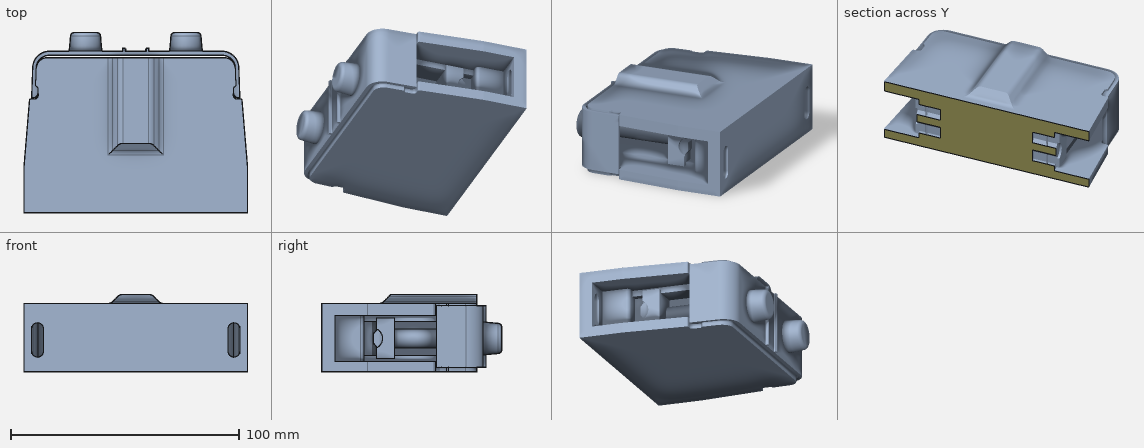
import cadquery as cq
import math


body_height = 30.0
body_depth = 68.0
base_half_width = 49.0
base_straight_depth = 20.2
shoulder_half_width = 46.6
shoulder_y = 49.9
shoulder_radius = 0.7
body_corner_radius = 4.9

seam_bottom_x = 43.9
seam_bottom_y = 55.7
seam_top_x = 43.6
latch_x = 42.8
latch_top_y = 54.7
latch_relief_radius = 1.5

cap_bottom = 2.0
cap_top = 29.0
cap_back_y = 70.8
cap_thickness = 1.85
cap_outer_top_x = 45.2
cap_outer_bottom_x = 45.65
cap_outer_radius = 7.5
cap_tip_y = 50.3
cap_tip_radius = 2.2

ridge_x = 5.15
ridge_width = 1.1
ridge_end_y = 72.1
barb_reach = 0.35
barb_length = 0.6
barb_setback = 0.3

screw_x = 22.0
knob_base_radius = 7.25
knob_end_radius = 6.5
knob_edge_radius = 1.8
knob_end_y = 79.0
shank_radius = 4.1

tower_top = 34.0
tower_half_width = 12.15
tower_front_y = 25.2
tower_slope = math.radians(45)
tower_foot_radius = 2.9
tower_edge_radius = 3.25

front_wall = 5.9
bay_bottom = 4.5
bay_top = 24.8
panel_x = 36.0
panel_end_y = 18.6
panel_edge_radius = 1.6
bay_floor_x = 32.3
ledge_end_y = 61.5
channel_floor_x = screw_x
channel_bottom = 7.1
channel_top = 22.1
channel_start_y = 22.6
channel_chamfer = 0.8
pocket_floor_x = 29.0

block_face_x = 34.2
block_front_y = 24.0
block_back_y = 31.9
block_bottom = 5.8
block_top = 23.6
scoop_depth = 1.0
scoop_length = 2.7
scoop_half_height = 4.2
tongue_tip_y = 22.7
tongue_root_half_height = 3.5
tongue_tip_half_height = 2.0

cut_overrun = 1.0

slot_x = 43.0
slot_width = 5.2
slot_height = 15.0
slot_z = 14.0
slot_upright_angle = 90

screw_z = (bay_bottom + bay_top) / 2

quarter_arc_mid = 45
relief_arc_mid = 180 + quarter_arc_mid


def box(x0, x1, y0, y1, z0, z1):
    return cq.Workplane("XY").box(x1 - x0, y1 - y0, z1 - z0, centered=False).translate((x0, y0, z0))


def polar_point(center_x, center_y, radius, angle_deg):
    angle = math.radians(angle_deg)
    return (center_x + radius * math.cos(angle), center_y + radius * math.sin(angle))


def make_body():
    relief_y = shoulder_y + latch_relief_radius
    relief_x = latch_x + latch_relief_radius
    corner_x = seam_top_x - body_corner_radius
    corner_y = body_depth - body_corner_radius
    rounding_x = shoulder_half_width - shoulder_radius
    rounding_y = shoulder_y - shoulder_radius
    return (
        cq.Workplane("XY")
        .moveTo(0, 0)
        .lineTo(base_half_width, 0)
        .lineTo(base_half_width, base_straight_depth)
        .lineTo(shoulder_half_width, rounding_y)
        .threePointArc(
            polar_point(rounding_x, rounding_y, shoulder_radius, quarter_arc_mid),
            (rounding_x, shoulder_y),
        )
        .lineTo(relief_x, shoulder_y)
        .threePointArc(
            polar_point(relief_x, relief_y, latch_relief_radius, relief_arc_mid),
            (latch_x, relief_y),
        )
        .lineTo(latch_x, latch_top_y)
        .lineTo(seam_bottom_x, seam_bottom_y)
        .lineTo(seam_top_x, corner_y)
        .threePointArc(
            polar_point(corner_x, corner_y, body_corner_radius, quarter_arc_mid),
            (corner_x, body_depth),
        )
        .lineTo(0, body_depth)
        .close()
        .extrude(body_height)
    )


def make_tower():
    sin_slope = math.sin(tower_slope)
    foot_run = tower_foot_radius * sin_slope
    foot_rise = tower_foot_radius * (1 - math.cos(tower_slope))
    edge_run = tower_edge_radius * sin_slope
    edge_rise = tower_edge_radius * (1 - math.cos(tower_slope))
    foot_z = body_height + foot_rise
    edge_z = tower_top - edge_rise
    foot_x = tower_half_width - foot_run
    edge_x = foot_x - (edge_z - foot_z) / math.tan(tower_slope)
    half_slope = tower_slope / 2
    foot_mid_run = tower_foot_radius * math.sin(half_slope)
    foot_mid_z = body_height + tower_foot_radius * (1 - math.cos(half_slope))
    edge_mid_x = edge_x - edge_run + tower_edge_radius * math.sin(half_slope)
    edge_mid_z = tower_top - tower_edge_radius * (1 - math.cos(half_slope))
    across = (
        cq.Workplane("XZ")
        .moveTo(0, body_height)
        .lineTo(tower_half_width, body_height)
        .threePointArc((tower_half_width - foot_mid_run, foot_mid_z), (foot_x, foot_z))
        .lineTo(edge_x, edge_z)
        .threePointArc((edge_mid_x, edge_mid_z), (edge_x - edge_run, tower_top))
        .lineTo(0, tower_top)
        .close()
        .extrude(-body_depth)
    )
    foot_y = tower_front_y + foot_run
    crest_y = foot_y + (tower_top - foot_z) / math.tan(tower_slope)
    along = (
        cq.Workplane("YZ")
        .moveTo(tower_front_y, body_height)
        .threePointArc((tower_front_y + foot_mid_run, foot_mid_z), (foot_y, foot_z))
        .lineTo(crest_y, tower_top)
        .lineTo(body_depth, tower_top)
        .lineTo(body_depth, body_height)
        .close()
        .extrude(tower_half_width)
    )
    return across.intersect(along)


def cut_side_bay(body):
    outside_x = base_half_width + cut_overrun
    bay = box(bay_floor_x, outside_x, front_wall, body_depth, bay_bottom, bay_top)
    panel = box(bay_floor_x, panel_x, front_wall, panel_end_y, bay_bottom, bay_top)
    panel = panel.edges("|Z and >X and >Y").fillet(panel_edge_radius)
    pocket = box(pocket_floor_x, bay_floor_x, panel_end_y, channel_start_y, channel_bottom, channel_top)
    channel = box(channel_floor_x, bay_floor_x, channel_start_y, ledge_end_y, channel_bottom, channel_top)
    channel_lip = (
        cq.Workplane("XY", origin=(0, 0, channel_bottom))
        .moveTo(pocket_floor_x, channel_start_y)
        .lineTo(pocket_floor_x, channel_start_y + channel_chamfer)
        .lineTo(pocket_floor_x - channel_chamfer, channel_start_y + channel_chamfer)
        .close()
        .extrude(channel_top - channel_bottom)
    )
    back = box(channel_floor_x, bay_floor_x, ledge_end_y, body_depth, bay_bottom, bay_top)
    return body.cut(bay.cut(panel)).cut(pocket).cut(channel.cut(channel_lip)).cut(back)


def make_slot():
    return (
        cq.Workplane("XZ")
        .center(slot_x, slot_z)
        .slot2D(slot_height, slot_width, slot_upright_angle)
        .extrude(-front_wall)
    )


def make_cap():
    inner_y = cap_back_y - cap_thickness
    center_x = cap_outer_top_x - cap_outer_radius
    center_y = cap_back_y - cap_outer_radius
    inner_radius_x = seam_top_x - center_x
    inner_radius_y = inner_y - center_y
    tip_x = latch_x + cap_tip_radius
    tip_y = cap_tip_y + cap_tip_radius
    diagonal = math.sqrt(0.5)
    return (
        cq.Workplane("XY", origin=(0, 0, cap_bottom))
        .moveTo(0, inner_y)
        .lineTo(center_x, inner_y)
        .threePointArc(
            (center_x + inner_radius_x * diagonal, center_y + inner_radius_y * diagonal),
            (seam_top_x, center_y),
        )
        .lineTo(seam_bottom_x, seam_bottom_y)
        .lineTo(latch_x, latch_top_y)
        .lineTo(latch_x, tip_y)
        .threePointArc(polar_point(tip_x, tip_y, cap_tip_radius, relief_arc_mid), (tip_x, cap_tip_y))
        .lineTo(cap_outer_bottom_x, cap_tip_y)
        .lineTo(cap_outer_top_x, center_y)
        .threePointArc(
            polar_point(center_x, center_y, cap_outer_radius, quarter_arc_mid),
            (center_x, cap_back_y),
        )
        .lineTo(0, cap_back_y)
        .close()
        .extrude(cap_top - cap_bottom)
    )


def make_ridge():
    inner_x = ridge_x - ridge_width / 2
    outer_x = ridge_x + ridge_width / 2
    stem = box(inner_x, outer_x, cap_back_y, ridge_end_y, cap_bottom, cap_top)
    barb_end_y = ridge_end_y - barb_setback
    barb = box(inner_x - barb_reach, inner_x, barb_end_y - barb_length, barb_end_y, cap_bottom, cap_top)
    return stem.union(barb)


def make_shank():
    return (
        cq.Workplane("XZ", origin=(screw_x, block_front_y, screw_z))
        .circle(shank_radius)
        .extrude(block_front_y - body_depth)
    )


def make_knob():
    cone = cq.Solid.makeCone(
        knob_base_radius,
        knob_end_radius,
        knob_end_y - cap_back_y,
        pnt=cq.Vector(screw_x, cap_back_y, screw_z),
        dir=cq.Vector(0, 1, 0),
    )
    return cq.Workplane(obj=cone).faces(">Y").edges().fillet(knob_edge_radius)


def make_clamp_block():
    block = box(channel_floor_x, block_face_x, block_front_y, block_back_y, block_bottom, block_top)
    scoop = (
        cq.Workplane("YZ", origin=(block_face_x - scoop_depth, 0, 0))
        .moveTo(block_front_y, screw_z - scoop_half_height)
        .threePointArc(
            (block_front_y + scoop_length, screw_z),
            (block_front_y, screw_z + scoop_half_height),
        )
        .close()
        .extrude(scoop_depth)
    )
    tongue = (
        cq.Workplane("YZ", origin=(channel_floor_x, 0, screw_z))
        .moveTo(block_front_y, -tongue_root_half_height)
        .lineTo(tongue_tip_y, -tongue_tip_half_height)
        .lineTo(tongue_tip_y, tongue_tip_half_height)
        .lineTo(block_front_y, tongue_root_half_height)
        .close()
        .extrude(block_face_x - scoop_depth - channel_floor_x)
    )
    return block.cut(scoop).union(tongue)


half = cut_side_bay(make_body()).cut(make_slot())
half = half.union(make_tower()).union(make_shank()).union(make_clamp_block())
half = half.union(make_cap()).union(make_ridge()).union(make_knob())

result = half.union(half.mirror("YZ")).clean()